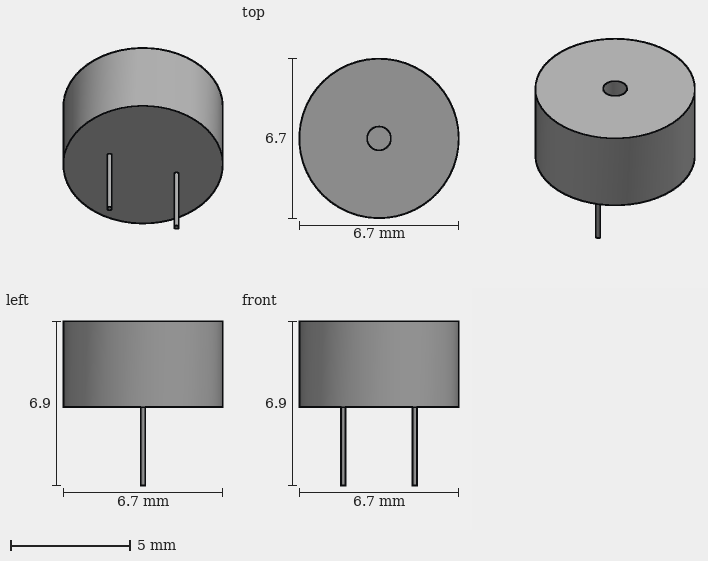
import cadquery as cq

total_height = 6.9
housing_diameter = 6.7
housing_height = 3.6
sound_hole_diameter = 1.0
sound_hole_depth = 1.0
pin_diameter = 0.2
pin_spacing = 3.0

pin_length = total_height - housing_height


def make_housing():
    """Round housing with a blind sound hole in the middle of its top."""
    body = cq.Workplane("XY").circle(housing_diameter / 2).extrude(housing_height)
    return body.faces(">Z").workplane().hole(sound_hole_diameter, sound_hole_depth)


def make_pin(x):
    """Straight round pin that butts against the housing underside."""
    return cq.Workplane("XY").center(x, 0).circle(pin_diameter / 2).extrude(-pin_length)


housing = make_housing()
pins = [make_pin(side * pin_spacing / 2) for side in (-1, 1)]

result = cq.Compound.makeCompound([housing.val(), *[pin.val() for pin in pins]])